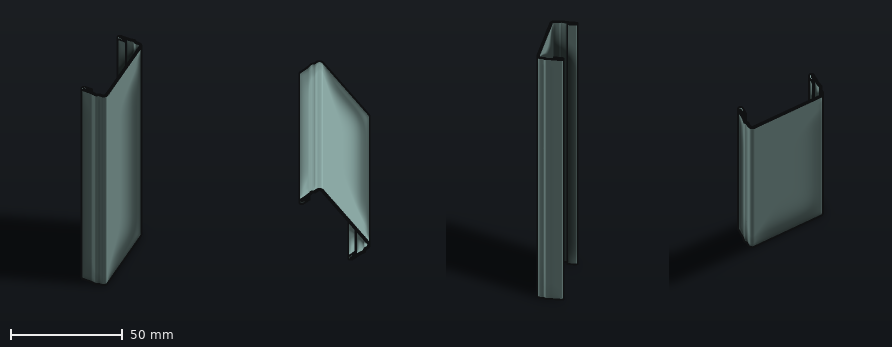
import cadquery as cq
import math

length = 120.0
depth = 12.4
width = 39.0

sheet = 0.78
corner_radius = 2.0

hem_height = 2.4
lip_end = 4.7
hem_root_end = 2.6
hem_root_gap = 0.4

crest_x = 7.7
crest_radius = 1.0
rise_angle = math.radians(10)
fall_angle = math.radians(35)
bead_root_radius = 0.6
crest_height = 0.4
shoulder_drop = 0.4

crest_y = width / 2
crest_center_y = crest_y - crest_radius
flange_y = crest_y - crest_height
shoulder_y = flange_y - shoulder_drop
hem_radius = hem_height / 2
lip_y = flange_y - hem_height
flange_inner_y = flange_y - sheet
hem_root_y = flange_inner_y - hem_root_gap
root_gap_radius = hem_root_gap / 2
corner_x = depth - corner_radius
corner_y = shoulder_y - corner_radius


def polar(center, radius, angle):
    """Point on a circle, with the angle measured from +Y toward +X."""
    return (center[0] + radius * math.sin(angle), center[1] + radius * math.cos(angle))


def arc_points(center, radius, start, end):
    """Start, middle and end points of a circular arc."""
    return [polar(center, radius, angle) for angle in (start, (start + end) / 2, end)]


def root_center(base_y, angle, side):
    """Center of the bend joining a bead slope to a flat face; side is the X direction from the crest."""
    center_y = base_y + bead_root_radius
    span = crest_radius + bead_root_radius
    slope_length = (crest_center_y + span * math.cos(angle) - center_y) / math.sin(angle)
    offset_x = span * math.sin(angle) + slope_length * math.cos(angle)
    return (crest_x + side * offset_x, center_y)


def bend_arcs(inset):
    """Arcs from the web corner to the rise of the bead, on the face this far inside the outer one."""
    corner = (corner_x, corner_y)
    crest = (crest_x, crest_center_y)
    fall_root = root_center(shoulder_y, fall_angle, 1)
    rise_root = root_center(flange_y, rise_angle, -1)
    root_radius = bead_root_radius + inset
    return [
        arc_points(corner, corner_radius - inset, math.pi / 2, 0),
        arc_points(fall_root, root_radius, math.pi, math.pi + fall_angle),
        arc_points(crest, crest_radius - inset, fall_angle, -rise_angle),
        arc_points(rise_root, root_radius, math.pi - rise_angle, math.pi),
    ]


def half_profile():
    """Closed section of one flange and half of the web, on the +Y side."""
    profile = cq.Workplane("XY").moveTo(depth, 0)

    for start, middle, end in bend_arcs(0):
        profile = profile.lineTo(*start).threePointArc(middle, end)

    profile = (
        profile.lineTo(hem_radius, flange_y)
        .threePointArc((0, flange_y - hem_radius), (hem_radius, lip_y))
        .lineTo(lip_end, lip_y)
        .lineTo(lip_end, lip_y + sheet)
        .lineTo(hem_root_end, lip_y + sheet)
        .lineTo(hem_root_end, hem_root_y)
        .lineTo(hem_radius, hem_root_y)
        .threePointArc(
            (hem_radius - root_gap_radius, flange_inner_y - root_gap_radius),
            (hem_radius, flange_inner_y),
        )
    )

    for start, middle, end in reversed(bend_arcs(sheet)):
        profile = profile.lineTo(*end).threePointArc(middle, start)

    return profile.lineTo(depth - sheet, 0).close()


half_channel = half_profile().extrude(length)
result = half_channel.union(half_channel.mirror("XZ")).clean()